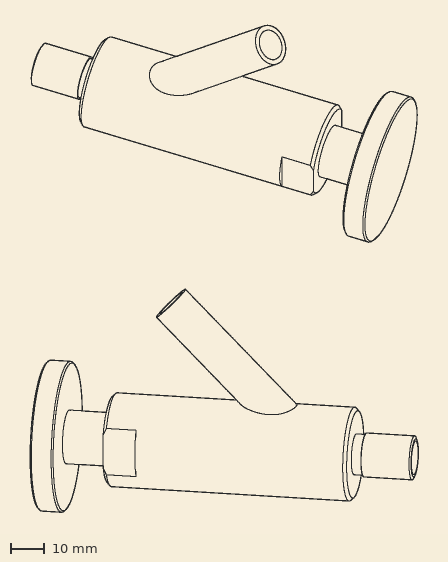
import cadquery as cq
import math

overall_length = 112.12

nipple_diameter = 13.16
nipple_length = 15.0
nipple_lip_diameter = 11.3
nipple_taper_length = 0.4
neck_diameter = 12.16
neck_length = 3.0
inlet_bore_diameter = 10.0

barrel_diameter = 28.0
barrel_length = 74.0
barrel_chamfer = 1.0
barrel_start = nipple_length + neck_length
barrel_end = barrel_start + barrel_length
flats_width = 24.0
flats_length = 10.0

pipe_diameter = 12.0
pipe_bore_diameter = 9.0
pipe_angle = math.radians(45)
pipe_axis_start = 30.3
pipe_top = 47.82
pipe_rim_rise = pipe_diameter / 2 * math.cos(pipe_angle)
pipe_length = (pipe_top - pipe_rim_rise) / math.sin(pipe_angle)

stem_diameter = 16.0
stem_insertion = 42.0
stem_start = barrel_end - stem_insertion
knob_diameter = 45.0
knob_thickness = 7.0
knob_start = overall_length - knob_thickness
knob_chamfer = 0.5


def x_cylinder(diameter, start, end):
    """Cylinder on the main axis between two X positions."""
    return cq.Workplane("YZ", origin=(start, 0, 0)).circle(diameter / 2).extrude(end - start)


def pipe_cylinder(diameter):
    """Cylinder on the inclined axis, from the main axis to the pipe's open end."""
    direction = cq.Vector(math.cos(pipe_angle), 0, math.sin(pipe_angle))
    foot = cq.Vector(pipe_axis_start, 0, 0)
    return cq.Workplane(cq.Solid.makeCylinder(diameter / 2, pipe_length, foot, direction))


def nipple():
    """Nipple with a tapered open end, followed by its relief neck."""
    outline = [
        (0, 0),
        (0, nipple_lip_diameter / 2),
        (nipple_taper_length, nipple_diameter / 2),
        (nipple_length, nipple_diameter / 2),
        (nipple_length, neck_diameter / 2),
        (barrel_start, neck_diameter / 2),
        (barrel_start, 0),
    ]
    return cq.Workplane("XY").polyline(outline).close().revolve(360, (0, 0, 0), (1, 0, 0))


def barrel():
    """Chamfered barrel with two wrench flats at the plunger end."""
    body = x_cylinder(barrel_diameter, barrel_start, barrel_end).faces("<X or >X").chamfer(barrel_chamfer)
    flats_start = barrel_end - flats_length
    cut_depth = (barrel_diameter - flats_width) / 2
    cut_center = (flats_width + cut_depth) / 2
    for side in (-1, 1):
        cutter = cq.Workplane("YZ", origin=(flats_start, side * cut_center, 0))
        body = body.cut(cutter.rect(cut_depth, barrel_diameter).extrude(flats_length))
    return body


def make_housing():
    """Nipple, barrel and side pipe in one piece, bored for flow and for the stem."""
    housing = nipple().union(barrel()).union(pipe_cylinder(pipe_diameter))
    housing = housing.cut(x_cylinder(inlet_bore_diameter, 0, stem_start))
    housing = housing.cut(x_cylinder(stem_diameter, stem_start, barrel_end))
    return housing.cut(pipe_cylinder(pipe_bore_diameter))


def make_plunger():
    """Stem that fills the housing bore, with a round knob on its outer end."""
    knob_radius = knob_diameter / 2
    face_radius = knob_radius - knob_chamfer
    outline = [
        (stem_start, 0),
        (stem_start, stem_diameter / 2),
        (knob_start, stem_diameter / 2),
        (knob_start, face_radius),
        (knob_start + knob_chamfer, knob_radius),
        (overall_length - knob_chamfer, knob_radius),
        (overall_length, face_radius),
        (overall_length, 0),
    ]
    return cq.Workplane("XY").polyline(outline).close().revolve(360, (0, 0, 0), (1, 0, 0))


housing = make_housing()
plunger = make_plunger()

result = cq.Compound.makeCompound([housing.solids().val(), plunger.val()])